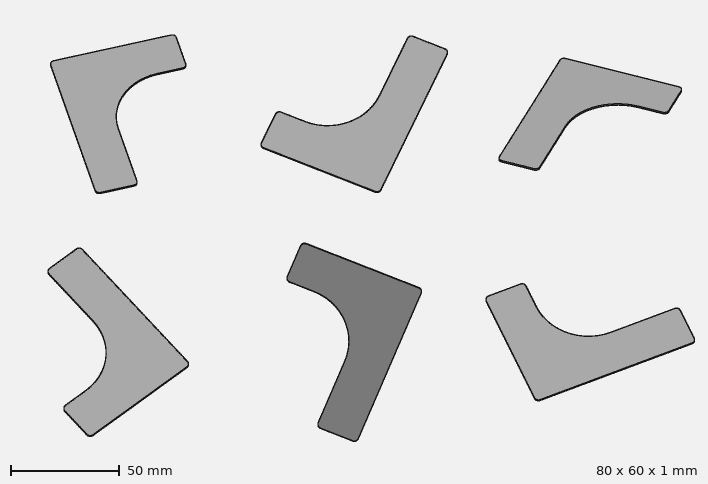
import cadquery as cq

length = 80.0
width = 60.0
thickness = 1.0

arm_width = 20.0
inner_radius = 26.0
corner_radius = 2.0


def l_plate():
    """L-shaped plate with its outer corner at the origin."""
    outline = [
        (0, 0),
        (length, 0),
        (length, arm_width),
        (arm_width, arm_width),
        (arm_width, width),
        (0, width),
    ]
    return cq.Workplane("XY").polyline(outline).close().extrude(thickness)


def inner_corner_edge(plate):
    """Select the vertical edge where the two arms meet."""
    return plate.edges(cq.selectors.NearestToPointSelector((arm_width, arm_width, thickness / 2)))


plate = inner_corner_edge(l_plate()).fillet(inner_radius)
outer_corners = plate.edges("|Z and (>X or >Y or <X)")
result = outer_corners.fillet(corner_radius)